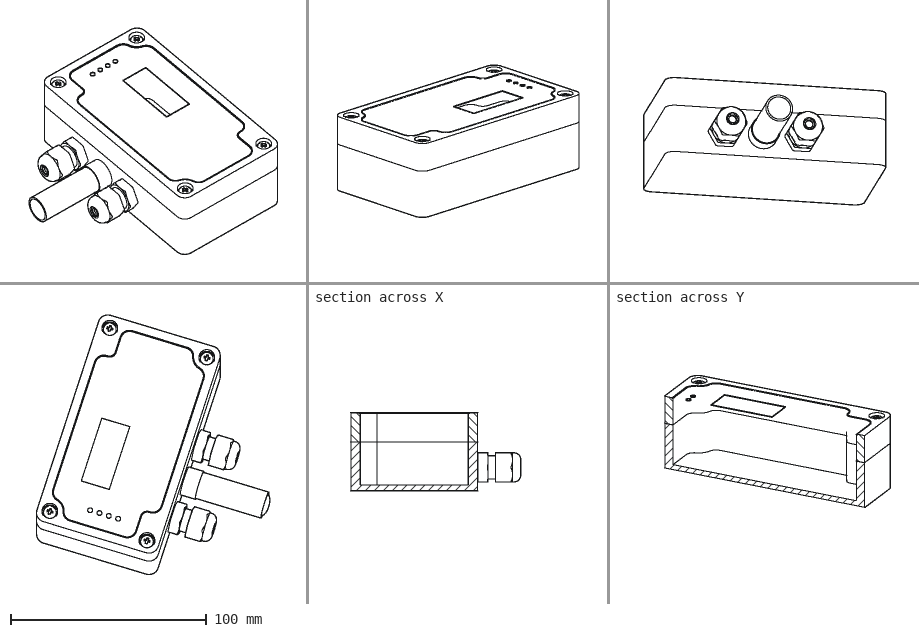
import cadquery as cq
import math

BOX_LENGTH = 115.0
BOX_WIDTH = 65.0
BOX_HEIGHT = 40.0
BOX_CORNER_RADIUS = 5.0
LID_HEIGHT = 15.0
FLOOR_THICKNESS = 3.0
BASE_HEIGHT = BOX_HEIGHT - LID_HEIGHT
FRONT_FACE_Y = -BOX_WIDTH / 2

PANEL_LENGTH = 106.0
PANEL_WIDTH = 56.0
PANEL_THICKNESS = 0.4
PANEL_LEDGE = 0.5
PANEL_CONVEX_RADIUS = 5.0
PANEL_CONCAVE_RADIUS = 3.0
NOTCH_LENGTH = 16.5
NOTCH_WIDTH = 8.5
SCREW_CLEARANCE_RADIUS = 6.75

WINDOW_LENGTH = 35.0
WINDOW_WIDTH = 15.0
WINDOW_CENTER = (-13.5, 8.0)
LED_HOLE_DIAMETER = 2.5
LED_COUNT = 4
LED_PITCH = 5.0
LED_X = -44.5
LED_TOP_Y = 6.5

SCREW_INSET = 6.5
SCREW_X = BOX_LENGTH / 2 - SCREW_INSET
SCREW_Y = BOX_WIDTH / 2 - SCREW_INSET
SCREW_RECESS_DIAMETER = 8.0
SCREW_RECESS_DEPTH = 3.0
SCREW_HEAD_DIAMETER = 6.5
SCREW_HEAD_HEIGHT = 2.0
SCREW_HEAD_ROUNDING = 1.0
CROSS_LENGTH = 3.0
CROSS_WIDTH = 1.0
CROSS_DEPTH = 1.5

FITTING_Z = 12.0
PROBE_X = -7.5
GLAND_SPACING = 20.0

HEX_ACROSS_FLATS = 15.0
HEX_CORNER_RADIUS = 1.5
FLANGE_LENGTH = 5.3
NECK_DIAMETER = 12.0
NECK_END = 9.0
HEX_NUT_END = 17.8
NUT_BEVEL_LENGTH = 1.0
FLANGE_BEVEL_LENGTH = 0.5
GLAND_LENGTH = 22.0
DOME_RADIUS = 3.5
GLAND_MOUTH_DIAMETER = 6.5
GLAND_SEAT_DIAMETER = 5.5
GLAND_MOUTH_DEPTH = 0.5
GLAND_BORE_DIAMETER = 4.0
GLAND_BORE_DEPTH = 1.5

PROBE_COLLAR_DIAMETER = 15.0
PROBE_COLLAR_LENGTH = 8.0
PROBE_DIAMETER = 14.0
PROBE_CYLINDER_END = 43.0
PROBE_LENGTH = 45.0
TIP_BASE_DIAMETER = 12.0
TIP_FLAT_DIAMETER = 3.0


def rounded_block(height):
    """Block with the enclosure's outline, standing on Z = 0."""
    block = cq.Workplane("XY").box(BOX_LENGTH, BOX_WIDTH, height, centered=(True, True, False))
    return block.edges("|Z").fillet(BOX_CORNER_RADIUS)


def panel_prism(bottom, top, inset=0.0):
    """Prism of the panel outline moved inward by `inset`.

    Two opposite corners are cut round about their screws, the other two by square notches.
    """
    height = top - bottom
    half_length = PANEL_LENGTH / 2
    half_width = PANEL_WIDTH / 2
    plate = cq.Workplane("XY").rect(PANEL_LENGTH - 2 * inset, PANEL_WIDTH - 2 * inset).extrude(height)
    round_cuts = (
        cq.Workplane("XY")
        .pushPoints([(-SCREW_X, SCREW_Y), (SCREW_X, -SCREW_Y)])
        .circle(SCREW_CLEARANCE_RADIUS + inset)
        .extrude(height)
    )
    square_cuts = (
        cq.Workplane("XY")
        .pushPoints([(half_length, half_width), (-half_length, -half_width)])
        .rect(2 * (NOTCH_LENGTH + inset), 2 * (NOTCH_WIDTH + inset))
        .extrude(height)
    )
    plate = plate.cut(round_cuts).cut(square_cuts)

    notch_x = half_length - NOTCH_LENGTH - inset
    notch_y = half_width - NOTCH_WIDTH - inset
    for x, y in [(notch_x, notch_y), (-notch_x, -notch_y)]:
        inner_corner = cq.selectors.NearestToPointSelector((x, y, height / 2))
        plate = plate.edges(inner_corner).fillet(PANEL_CONCAVE_RADIUS + inset)

    corner_x = half_length - inset
    corner_y = half_width - inset
    clearance = SCREW_CLEARANCE_RADIUS + inset
    round_x = SCREW_X - math.sqrt(clearance**2 - (corner_y - SCREW_Y) ** 2)
    round_y = SCREW_Y - math.sqrt(clearance**2 - (corner_x - SCREW_X) ** 2)
    outer_corners = [
        (notch_x, corner_y),
        (corner_x, notch_y),
        (-round_x, corner_y),
        (-corner_x, round_y),
    ]
    for x, y in outer_corners:
        for side in (1, -1):
            outer_corner = cq.selectors.NearestToPointSelector((side * x, side * y, height / 2))
            plate = plate.edges(outer_corner).fillet(PANEL_CONVEX_RADIUS - inset)
    return plate.translate((0, 0, bottom))


def make_base():
    """Open tray with the cavity outline following the panel."""
    return rounded_block(BASE_HEIGHT).cut(panel_prism(FLOOR_THICKNESS, BASE_HEIGHT, PANEL_LEDGE))


def make_lid():
    """Open frame with a shallow seat for the panel and a recess for each screw."""
    lid = rounded_block(LID_HEIGHT).translate((0, 0, BASE_HEIGHT))
    lid = lid.cut(panel_prism(BASE_HEIGHT, BOX_HEIGHT, PANEL_LEDGE))
    lid = lid.cut(panel_prism(BOX_HEIGHT - PANEL_THICKNESS, BOX_HEIGHT))
    recesses = (
        cq.Workplane("XY", origin=(0, 0, BOX_HEIGHT))
        .rect(2 * SCREW_X, 2 * SCREW_Y, forConstruction=True)
        .vertices()
        .circle(SCREW_RECESS_DIAMETER / 2)
        .extrude(-SCREW_RECESS_DEPTH)
    )
    return lid.cut(recesses)


def make_panel():
    """Thin plate flush with the lid top, with the display window and a column of indicator holes."""
    panel = panel_prism(BOX_HEIGHT - PANEL_THICKNESS, BOX_HEIGHT)
    top = cq.Workplane("XY", origin=(0, 0, BOX_HEIGHT))
    window = top.center(*WINDOW_CENTER).rect(WINDOW_LENGTH, WINDOW_WIDTH).extrude(-PANEL_THICKNESS)
    led_points = [(LED_X, LED_TOP_Y - i * LED_PITCH) for i in range(LED_COUNT)]
    led_holes = top.pushPoints(led_points).circle(LED_HOLE_DIAMETER / 2).extrude(-PANEL_THICKNESS)
    return panel.cut(window).cut(led_holes)


def make_screw(x, y):
    """Round-edged cross-recess screw head resting on its recess floor."""
    seat_z = BOX_HEIGHT - SCREW_RECESS_DEPTH
    head = cq.Workplane("XY").circle(SCREW_HEAD_DIAMETER / 2).extrude(SCREW_HEAD_HEIGHT)
    head = head.faces(">Z").edges().fillet(SCREW_HEAD_ROUNDING)
    top = cq.Workplane("XY", origin=(0, 0, SCREW_HEAD_HEIGHT))
    for length, width in [(CROSS_LENGTH, CROSS_WIDTH), (CROSS_WIDTH, CROSS_LENGTH)]:
        head = head.cut(top.rect(length, width).extrude(-CROSS_DEPTH))
    return head.translate((x, y, seat_z))


def revolve_on_axis(profile):
    """Close a half profile drawn in XZ and revolve it about the Z axis."""
    return profile.close().revolve(360, (0, 0, 0), (0, 1, 0))


def beveled_hex(length, bevel_length):
    """Hexagonal prism along +Z with rounded corners and a conical bevel at its far end."""
    flat_radius = HEX_ACROSS_FLATS / 2
    corner_radius = flat_radius / math.cos(math.pi / 6)
    prism = cq.Workplane("XY").polygon(6, 2 * corner_radius).extrude(length)
    prism = prism.edges("|Z").fillet(HEX_CORNER_RADIUS)
    bevel_envelope = revolve_on_axis(
        cq.Workplane("XZ")
        .moveTo(0, 0)
        .lineTo(corner_radius, 0)
        .lineTo(corner_radius, length - bevel_length)
        .lineTo(flat_radius, length)
        .lineTo(0, length)
    )
    return prism.intersect(bevel_envelope)


def place_fitting(fitting, x):
    """Stand a fitting built along +Z on the front wall, pointing to -Y."""
    return fitting.rotate((0, 0, 0), (1, 0, 0), 90).translate((x, FRONT_FACE_Y, FITTING_Z))


def make_gland(x):
    """Cable gland: hexagonal flange, round neck, domed hexagonal nut and stepped bore."""
    dome_base_radius = HEX_ACROSS_FLATS / 2
    flange = beveled_hex(FLANGE_LENGTH, FLANGE_BEVEL_LENGTH)
    neck = cq.Workplane("XY").circle(NECK_DIAMETER / 2).extrude(NECK_END)
    nut = beveled_hex(HEX_NUT_END - NECK_END, NUT_BEVEL_LENGTH).translate((0, 0, NECK_END))
    dome = cq.Workplane("XY", origin=(0, 0, NECK_END)).circle(dome_base_radius)
    dome = dome.extrude(GLAND_LENGTH - NECK_END).faces(">Z").edges().fillet(DOME_RADIUS)

    mouth_floor = GLAND_LENGTH - GLAND_MOUTH_DEPTH
    bore_floor = GLAND_LENGTH - GLAND_BORE_DEPTH
    bore = revolve_on_axis(
        cq.Workplane("XZ")
        .moveTo(0, bore_floor)
        .lineTo(GLAND_BORE_DIAMETER / 2, bore_floor)
        .lineTo(GLAND_BORE_DIAMETER / 2, mouth_floor)
        .lineTo(GLAND_SEAT_DIAMETER / 2, mouth_floor)
        .lineTo(GLAND_MOUTH_DIAMETER / 2, GLAND_LENGTH)
        .lineTo(0, GLAND_LENGTH)
    )
    return place_fitting(flange.union(neck).union(nut).union(dome).cut(bore), x)


def make_probe():
    """Sensor probe: collar, long cylinder and a domed tip with a small flat end."""
    flat_radius = TIP_FLAT_DIAMETER / 2
    base_radius = TIP_BASE_DIAMETER / 2
    rise = PROBE_LENGTH - PROBE_CYLINDER_END
    run = base_radius - flat_radius
    arc_radius = (run**2 + rise**2) / (2 * rise)
    half_sweep = math.atan2(rise, run)
    arc_middle = (
        flat_radius + arc_radius * math.sin(half_sweep),
        PROBE_LENGTH - arc_radius * (1 - math.cos(half_sweep)),
    )
    probe = revolve_on_axis(
        cq.Workplane("XZ")
        .moveTo(0, 0)
        .lineTo(PROBE_COLLAR_DIAMETER / 2, 0)
        .lineTo(PROBE_COLLAR_DIAMETER / 2, PROBE_COLLAR_LENGTH)
        .lineTo(PROBE_DIAMETER / 2, PROBE_COLLAR_LENGTH)
        .lineTo(PROBE_DIAMETER / 2, PROBE_CYLINDER_END)
        .lineTo(base_radius, PROBE_CYLINDER_END)
        .threePointArc(arc_middle, (flat_radius, PROBE_LENGTH))
        .lineTo(0, PROBE_LENGTH)
    )
    return place_fitting(probe, PROBE_X)


base = make_base()
lid = make_lid()
panel = make_panel()
screws = [make_screw(x, y) for x in (-SCREW_X, SCREW_X) for y in (-SCREW_Y, SCREW_Y)]
glands = [make_gland(PROBE_X + side * GLAND_SPACING) for side in (-1, 1)]
probe = make_probe()

bodies = [base, lid, panel, *screws, *glands, probe]
result = cq.Compound.makeCompound([body.val() for body in bodies])